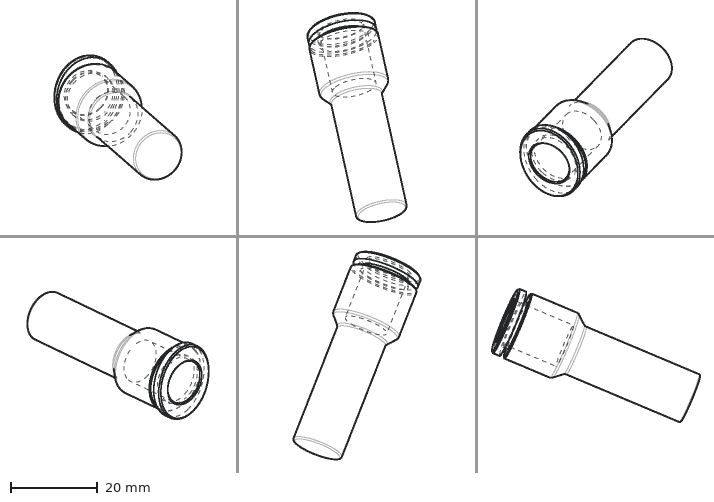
import cadquery as cq
import math

total_length = 46.6

collar_width = 16.0
collar_height = 18.5
collar_thickness = 2.0
collar_chamfer = 0.35

neck_diameter = 11.7

body_diameter = 16.3
body_start = 3.1
body_chamfer = 0.25
stem_diameter = 12.0
shoulder_slope = math.radians(40)
shoulder_large_end = 15.0
shoulder_blend_radius = 0.9
stem_end_radius = 0.4

socket_diameter = 10.3
socket_mouth_chamfer = 0.3
socket_depth = shoulder_large_end

body_radius = body_diameter / 2
neck_radius = neck_diameter / 2
stem_radius = stem_diameter / 2
shoulder_length = (body_radius - stem_radius) / math.tan(shoulder_slope)
shoulder_small_end = shoulder_large_end + shoulder_length


def make_collar():
    """Oval plate with its outer front edge chamfered."""
    plate = (
        cq.Workplane("YZ")
        .ellipse(collar_width / 2, collar_height / 2)
        .extrude(collar_thickness)
    )
    return plate.faces("<X").chamfer(collar_chamfer)


def make_turned_body():
    """Neck, body, conical shoulder and stem as one revolved profile."""
    profile = (
        cq.Workplane("XY")
        .moveTo(collar_thickness, 0)
        .lineTo(collar_thickness, neck_radius)
        .lineTo(body_start, neck_radius)
        .lineTo(body_start, body_radius)
        .lineTo(shoulder_large_end, body_radius)
        .lineTo(shoulder_small_end, stem_radius)
        .lineTo(total_length, stem_radius)
        .lineTo(total_length, 0)
        .close()
    )
    turned = profile.revolve(360, (0, 0, 0), (1, 0, 0))
    turned = edge_at(turned, shoulder_large_end, body_radius).fillet(shoulder_blend_radius)
    turned = edge_at(turned, shoulder_small_end, stem_radius).fillet(shoulder_blend_radius)
    turned = edge_at(turned, body_start, body_radius).chamfer(body_chamfer)
    return turned.faces(">X").edges().fillet(stem_end_radius)


def edge_at(solid, x, radius):
    """Select the circular edge of the given radius lying in the plane at x."""
    tolerance = 0.01
    low_corner = (x - tolerance, -tolerance, -tolerance)
    high_corner = (x + tolerance, tolerance, tolerance)
    in_plane = solid.edges(cq.selectors.BoxSelector(low_corner, high_corner))
    return in_plane.filter(
        lambda edge: edge.geomType() == "CIRCLE" and abs(edge.radius() - radius) < tolerance
    )


def make_socket():
    """Blind bore with a flared mouth, to be cut from the collar face."""
    bore_radius = socket_diameter / 2
    profile = (
        cq.Workplane("XY")
        .lineTo(0, bore_radius + socket_mouth_chamfer)
        .lineTo(socket_mouth_chamfer, bore_radius)
        .lineTo(socket_depth, bore_radius)
        .lineTo(socket_depth, 0)
        .close()
    )
    return profile.revolve(360, (0, 0, 0), (1, 0, 0))


result = make_collar().union(make_turned_body()).cut(make_socket())